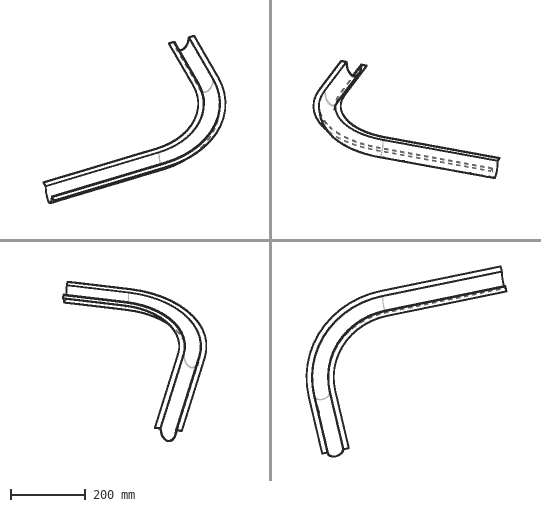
import cadquery as cq
import math

length_x = 423.5
length_y = 583.0
height = 42.0

channel_width = 73.5
thickness = 2.0
trough_outer_width = 45.5
wall_lean = 10.0
shoulder_outer_width = 34.0
shoulder_depth = 27.0

bend_outer_radius = 255.0

half_width = channel_width / 2
bend_radius = bend_outer_radius - half_width
straight_y = length_y - bend_outer_radius
straight_x = length_x - bend_outer_radius

lean = math.radians(wall_lean)
outer_half = trough_outer_width / 2
inner_half = outer_half - thickness / math.cos(lean)
flange_root = outer_half - thickness * math.tan(lean)


def add_trough_curve(outline, side, inset):
    """Continue the outline along a smooth U from one rim to the other.

    The side is +1 when the curve ends on the right and -1 when it ends on the left.
    The inset moves the curve into the wall thickness.
    """
    rim_half, rim_z = (inner_half, 0) if inset else (flange_root, -thickness)
    shoulder_half = shoulder_outer_width / 2 - inset
    points = [
        (-side * shoulder_half, -shoulder_depth),
        (0, inset - height),
        (side * shoulder_half, -shoulder_depth),
        (side * rim_half, rim_z),
    ]
    down = (side * math.sin(lean), -math.cos(lean))
    up = (side * math.sin(lean), math.cos(lean))
    return outline.spline(points, tangents=[down, up], includeCurrent=True)


def channel_profile():
    """U-shaped trough with a flat flange along each rim, top face at Z = 0."""
    outline = cq.Workplane("XZ").moveTo(-half_width, 0).lineTo(-inner_half, 0)
    outline = add_trough_curve(outline, 1, thickness)
    outline = (
        outline.lineTo(half_width, 0)
        .lineTo(half_width, -thickness)
        .lineTo(flange_root, -thickness)
    )
    outline = add_trough_curve(outline, -1, 0)
    return outline.lineTo(-half_width, -thickness).close()


def centre_path():
    """Straight run along +Y, quarter bend, then straight run along -X."""
    diagonal = bend_radius * math.sqrt(0.5)
    bend_middle = (diagonal - bend_radius, straight_y + diagonal)
    bend_end = (-bend_radius, straight_y + bend_radius)
    return (
        cq.Workplane("XY")
        .lineTo(0, straight_y)
        .threePointArc(bend_middle, bend_end)
        .lineTo(-bend_radius - straight_x, bend_end[1])
    )


result = channel_profile().sweep(centre_path())